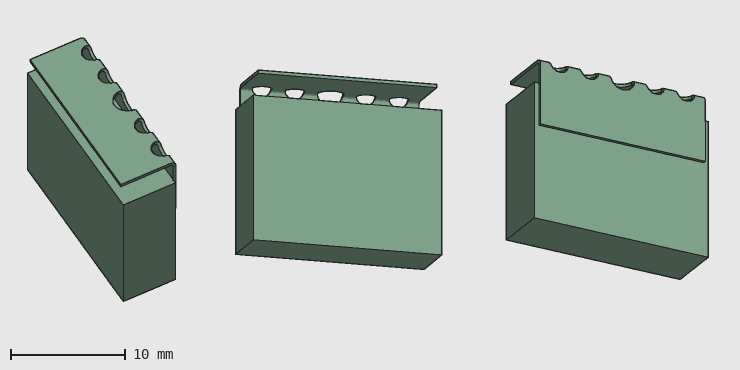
import cadquery as cq

body_width = 17.2
body_depth = 5.2
body_height = 13.05

sheet_thickness = 0.3
sheet_width = 16.3
lid_gap = 2.0
flange_length = 6.35
inner_bend_radius = 0.3

centre_hole_diameter = 2.4
side_hole_diameter = 1.8
inner_hole_offset = 3.25
outer_hole_offset = 6.25
lid_hole_inset = 0.4
flange_hole_drop = 0.065

outer_bend_radius = inner_bend_radius + sheet_thickness
lid_top = body_height + lid_gap + sheet_thickness
sheet_back = body_depth + sheet_thickness
bend_start = sheet_back - outer_bend_radius
flange_bottom = lid_top - flange_length


def make_body():
    return cq.Workplane("XY").box(
        body_width, body_depth, body_height, centered=(True, False, False)
    )


def make_cover():
    """L-shaped sheet profile in the YZ plane, extruded symmetrically along X."""
    return (
        cq.Workplane("YZ")
        .moveTo(0, lid_top)
        .lineTo(bend_start, lid_top)
        .radiusArc((sheet_back, lid_top - outer_bend_radius), outer_bend_radius)
        .lineTo(sheet_back, flange_bottom)
        .lineTo(body_depth, flange_bottom)
        .lineTo(body_depth, lid_top - outer_bend_radius)
        .radiusArc((bend_start, lid_top - sheet_thickness), -inner_bend_radius)
        .lineTo(0, lid_top - sheet_thickness)
        .close()
        .extrude(sheet_width / 2, both=True)
    )


def bend_hole(x, diameter):
    """Cutter for one hole: a level bore through flange and bend, a vertical one through the flat lid."""
    radius = diameter / 2
    flange_bore = (
        cq.Workplane("XZ", origin=(x, sheet_back, lid_top - flange_hole_drop))
        .circle(radius)
        .extrude(outer_bend_radius)
    )
    lid_bore = (
        cq.Workplane("XY", origin=(x, sheet_back - lid_hole_inset, lid_top))
        .circle(radius)
        .extrude(-sheet_thickness)
    )
    flat_lid = (
        cq.Workplane("XY", origin=(x, 0, lid_top))
        .box(diameter, bend_start, sheet_thickness, centered=(True, False, False))
        .translate((0, 0, -sheet_thickness))
    )
    return flange_bore.union(lid_bore.intersect(flat_lid))


cover = make_cover()
cover = cover.cut(bend_hole(0, centre_hole_diameter))
for offset in (inner_hole_offset, outer_hole_offset):
    for side in (-1, 1):
        cover = cover.cut(bend_hole(side * offset, side_hole_diameter))

result = make_body().union(cover)